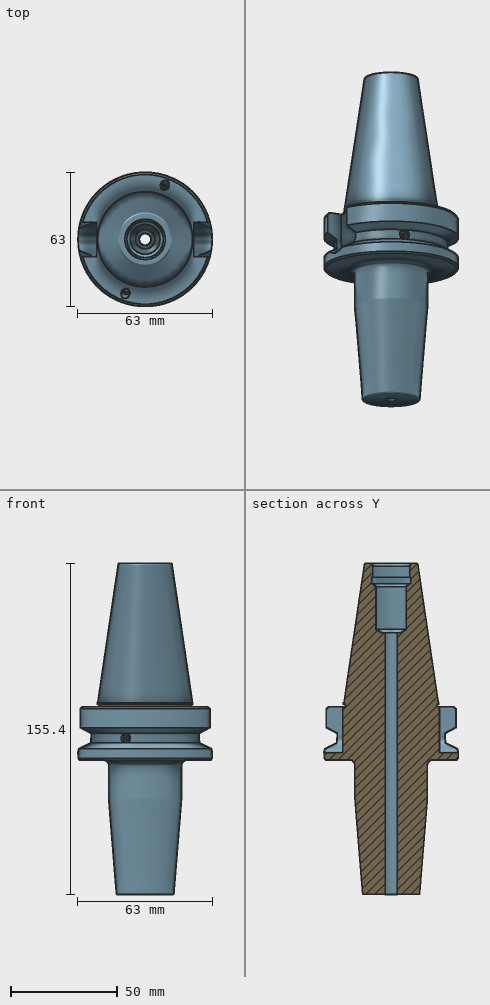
import cadquery as cq
import math

total_height = 155.4
gauge_z = 90.0
gauge_radius = 22.2
taper_ratio = 7 / 24
taper_top_radius = gauge_radius - (total_height - gauge_z) * taper_ratio / 2
taper_top_fillet = 1.0

flange_diameter = 63.0
flange_radius = flange_diameter / 2
flange_top_z = 88.1
flange_bottom_z = 63.1
flange_top_chamfer = 1.1
flange_bottom_chamfer = 0.8
collar_step = 0.2
relief_height = 1.1
relief_depth = 0.6

groove_center_z = 73.3
groove_floor_radius = 26.5
groove_floor_width = 4.5
groove_mouth_width = 10.0

nose_radius = 17.1
nose_cylinder_bottom_z = 44.8
nose_end_radius = 13.5
nose_end_fillet = 0.8
neck_fillet = 2.6

slot_width = 16.2
slot_floor_distance = 22.7
slot_bottom_z = 66.7

mouth_radius = 9.5
mouth_chamfer_depth = 1.4
counterbore_radius = 8.5
counterbore_depth = 9.6
undercut_radius = 9.0
undercut_height = 3.0
socket_radius = 7.0
upper_cone_depth = 11.2
lower_cone_radius = 4.5
socket_depth = 31.1
lower_cone_depth = 32.6
through_diameter = 5.5
through_radius = through_diameter / 2

coolant_angle = 70.0
coolant_inlet_radius = 27.0
coolant_tilt = 30.0
inlet_diameter = 4.0
inlet_step_depth = 3.1
plug_diameter = 4.5
plug_step_depth = 3.1
passage_diameter = 2.0
hole_overrun = 1.5


def make_body():
    """Revolve the outer outline about the Z axis."""
    groove_floor_top = groove_center_z + groove_floor_width / 2
    groove_floor_bottom = groove_center_z - groove_floor_width / 2
    groove_mouth_top = groove_center_z + groove_mouth_width / 2
    groove_mouth_bottom = groove_center_z - groove_mouth_width / 2
    collar_radius = gauge_radius + collar_step
    relief_top_z = flange_top_z + relief_height
    fillet_middle = neck_fillet * (1 - math.sqrt(0.5))

    outline = (
        cq.Workplane("XZ")
        .moveTo(0, 0)
        .lineTo(nose_end_radius - nose_end_fillet, 0)
        .radiusArc((nose_end_radius, nose_end_fillet), -nose_end_fillet)
        .lineTo(nose_radius, nose_cylinder_bottom_z)
        .lineTo(nose_radius, flange_bottom_z - neck_fillet)
        .threePointArc(
            (nose_radius + fillet_middle, flange_bottom_z - fillet_middle),
            (nose_radius + neck_fillet, flange_bottom_z),
        )
        .lineTo(flange_radius - flange_bottom_chamfer, flange_bottom_z)
        .lineTo(flange_radius, flange_bottom_z + flange_bottom_chamfer)
        .lineTo(flange_radius, groove_mouth_bottom)
        .lineTo(groove_floor_radius, groove_floor_bottom)
        .lineTo(groove_floor_radius, groove_floor_top)
        .lineTo(flange_radius, groove_mouth_top)
        .lineTo(flange_radius, flange_top_z - flange_top_chamfer)
        .lineTo(flange_radius - flange_top_chamfer, flange_top_z)
        .lineTo(collar_radius - relief_depth, flange_top_z)
        .lineTo(collar_radius - relief_depth, relief_top_z)
        .lineTo(collar_radius, relief_top_z)
        .lineTo(collar_radius, gauge_z)
        .lineTo(gauge_radius, gauge_z)
        .lineTo(taper_top_radius, total_height - taper_top_fillet)
        .radiusArc((taper_top_radius - taper_top_fillet, total_height), -taper_top_fillet)
        .lineTo(0, total_height)
        .close()
    )
    return outline.revolve(360, (0, 0, 0), (0, 1, 0))


def make_bore():
    """Chamfered counterbore, undercut, cone, socket with a drill point, and a hole to the nose."""
    counterbore_floor_z = total_height - counterbore_depth
    return (
        cq.Workplane("XZ")
        .moveTo(0, 0)
        .lineTo(through_radius, 0)
        .lineTo(through_radius, total_height - lower_cone_depth)
        .lineTo(lower_cone_radius, total_height - lower_cone_depth)
        .lineTo(socket_radius, total_height - socket_depth)
        .lineTo(socket_radius, total_height - upper_cone_depth)
        .lineTo(counterbore_radius, counterbore_floor_z)
        .lineTo(undercut_radius, counterbore_floor_z)
        .lineTo(undercut_radius, counterbore_floor_z + undercut_height)
        .lineTo(counterbore_radius, counterbore_floor_z + undercut_height)
        .lineTo(counterbore_radius, total_height - mouth_chamfer_depth)
        .lineTo(mouth_radius, total_height)
        .lineTo(0, total_height)
        .close()
        .revolve(360, (0, 0, 0), (0, 1, 0))
    )


def make_drive_slot(side):
    """Round-bottomed slot, open upward and outward; side is -1 or +1 along X."""
    arc_radius = slot_width / 2
    arc_center_z = slot_bottom_z + arc_radius
    depth = flange_radius - slot_floor_distance
    return (
        cq.Workplane("YZ", origin=(side * slot_floor_distance, 0, 0))
        .moveTo(-arc_radius, flange_top_z)
        .lineTo(-arc_radius, arc_center_z)
        .threePointArc((0, slot_bottom_z), (arc_radius, arc_center_z))
        .lineTo(arc_radius, flange_top_z)
        .close()
        .extrude(side * depth)
    )


def stepped_hole(mouth, direction, diameters, step_depth, total_depth):
    """Cylinder of the first diameter down to the step, then of the second diameter."""
    wide = cq.Solid.makeCylinder(
        diameters[0] / 2, step_depth + hole_overrun, mouth - direction * hole_overrun, direction
    )
    narrow = cq.Solid.makeCylinder(diameters[1] / 2, total_depth, mouth, direction)
    return cq.Workplane(wide).union(cq.Workplane(narrow))


def make_coolant_passage(angle):
    """Leaning inlet from the flange top, met by a radial hole from the groove floor."""
    tilt = math.radians(coolant_tilt)
    drop = flange_top_z - groove_center_z
    meeting_radius = coolant_inlet_radius - drop * math.tan(tilt)
    inlet = stepped_hole(
        cq.Vector(coolant_inlet_radius, 0, flange_top_z),
        cq.Vector(-math.sin(tilt), 0, -math.cos(tilt)),
        (inlet_diameter, passage_diameter),
        inlet_step_depth,
        drop / math.cos(tilt),
    )
    plug_hole = stepped_hole(
        cq.Vector(groove_floor_radius, 0, groove_center_z),
        cq.Vector(-1, 0, 0),
        (plug_diameter, passage_diameter),
        plug_step_depth,
        groove_floor_radius - meeting_radius,
    )
    return inlet.union(plug_hole).rotate((0, 0, 0), (0, 0, 1), angle)


result = make_body().cut(make_bore())
for side in (-1, 1):
    result = result.cut(make_drive_slot(side))
for angle in (coolant_angle, coolant_angle + 180):
    result = result.cut(make_coolant_passage(angle))